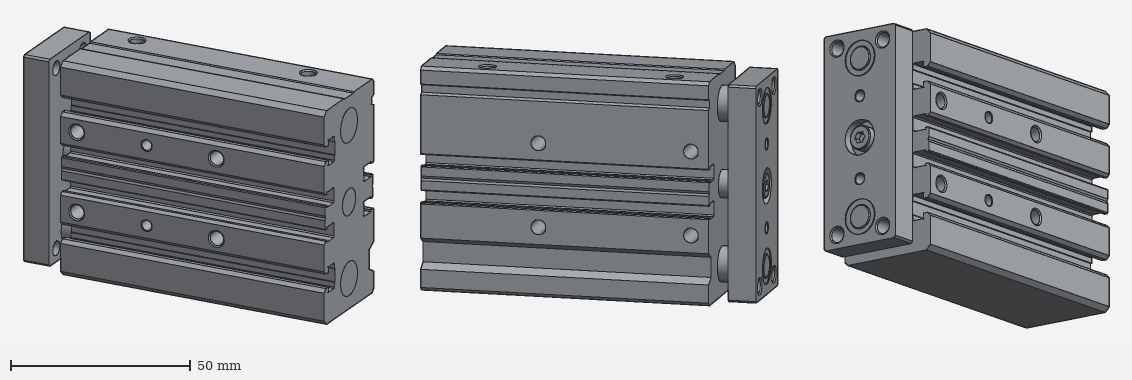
import cadquery as cq
import math


OVERLAP = 1.0

total_length = 96.0
plate_thickness = 8.0
housing_start = 13.0
housing_length = total_length - housing_start
housing_width = 30.0
housing_height = 64.0
half_width = housing_width / 2
half_height = housing_height / 2
front_corner_chamfer = 1.4
rear_corner_chamfer = 1.0

t_slot_z = 19.0
t_slot_mouth = 4.3
t_slot_flare = 1.1
t_slot_lip = 2.5
t_slot_head = 7.6
t_slot_depth = 6.1
t_slot_corner = 0.3
t_slot_recess_width = 4.0
t_slot_recess_depth = 0.43

sensor_slot_inner_z = 3.6
sensor_slot_outer_z = 6.9
sensor_slot_undercut = 0.6
sensor_slot_lip = 1.7
sensor_slot_depth = 6.0
sensor_slot_corner = 0.4
front_sensor_flare = 0.9
rear_sensor_flare = 0.3
rib_setback = 0.6
rib_edge_chamfer = 0.3
rib_groove_half_width = 0.7
rib_groove_depth = 0.3

rear_notch_z = 25.5
rear_notch_mouth = 3.1
rear_notch_floor = 2.1
rear_notch_depth = 1.2
rear_channel_z = -21.4
rear_channel_mouth = 8.9
rear_channel_floor = 5.8
rear_channel_depth = 2.8
top_groove_mouth = 6.0
top_groove_floor = 5.2
top_groove_depth = 0.3

side_hole_z = 12.0
mount_hole_x = (18.0, 62.0)
mount_hole_diameter = 4.2
mount_hole_countersink = 5.0
side_pin_hole_x = 40.0
pin_hole_diameter = 3.1
pin_hole_countersink = 3.5
pin_hole_depth = 5.0
port_x = (24.0, 78.0)
port_y = 10.0
port_diameter = 4.2
port_countersink = 5.0
port_depth = 7.7
port_passage_diameter = 1.6
port_passage_depth = 13.4
drill_point_angle = 118.0

plate_width = 25.0
plate_height = 62.0
plate_chamfer = 0.6
plate_hole_y = 8.0
plate_hole_z = 27.0
plate_hole_diameter = 4.2
plate_hole_countersink = 5.0
plate_counterbore_diameter = 10.2
plate_counterbore_depth = 3.0

guide_rod_z = 22.9
guide_rod_diameter = 10.2
piston_rod_diameter = 8.0
rod_tip_diameter = 7.0
rod_tip_chamfer = 0.3
guide_rod_step = 0.3
hex_socket_flats = 3.0
hex_socket_depth = 1.9


def prism(points, start, length):
    """Extrude a closed (Y, Z) outline along +X."""
    return cq.Workplane("YZ", origin=(start, 0, 0)).polyline(points).close().extrude(length)


def x_cylinder(diameter, start, end, z=0.0):
    """Cylinder along X between two stations, on Y = 0."""
    return cq.Workplane("YZ", origin=(start, 0, z)).circle(diameter / 2).extrude(end - start)


def hole_tool(diameter, countersink, depth, point_angle=None):
    """Hole cutter along +Z from the origin, with a 45 degree countersink and optional drill point."""
    radius = diameter / 2
    mouth = countersink / 2
    outline = cq.Workplane("XZ").moveTo(0, -OVERLAP).lineTo(mouth, -OVERLAP).lineTo(mouth, 0)
    outline = outline.lineTo(radius, mouth - radius).lineTo(radius, depth)
    if point_angle is None:
        outline = outline.lineTo(0, depth)
    else:
        outline = outline.lineTo(0, depth + radius / math.tan(math.radians(point_angle / 2)))
    return outline.close().revolve(360, (0, 0, 0), (0, 1, 0))


def groove_points(side, center_z, sections):
    """Outline of a groove in a Y face, from (depth, half width) sections symmetric about center_z.

    side is -1 for the -Y face and +1 for the +Y face.
    """
    upper = [(side * (half_width - depth), center_z + half) for depth, half in sections]
    lower = [(side * (half_width - depth), center_z - half) for depth, half in reversed(sections)]
    return upper + lower


def cut_along_housing(housing, points):
    """Cut a (Y, Z) outline through the whole housing length."""
    return housing.cut(prism(points, housing_start, housing_length))


def make_housing_blank():
    front = front_corner_chamfer
    rear = rear_corner_chamfer
    outline = [
        (-half_width, half_height - front),
        (-half_width + front, half_height),
        (half_width - rear, half_height),
        (half_width, half_height - rear),
        (half_width, rear - half_height),
        (half_width - rear, -half_height),
        (-half_width + front, -half_height),
        (-half_width, front - half_height),
    ]
    return prism(outline, housing_start, housing_length)


def cut_t_slots(housing):
    mouth = t_slot_mouth / 2
    head = t_slot_head / 2
    recess = t_slot_recess_width / 2
    sections = [
        (-OVERLAP, mouth + t_slot_flare),
        (0, mouth + t_slot_flare),
        (t_slot_flare, mouth),
        (t_slot_lip, mouth),
        (t_slot_lip, head),
        (t_slot_depth - t_slot_corner, head),
        (t_slot_depth, head - t_slot_corner),
        (t_slot_depth, recess),
        (t_slot_depth + t_slot_recess_depth, recess),
    ]
    for z in (-t_slot_z, t_slot_z):
        housing = cut_along_housing(housing, groove_points(-1, z, sections))
    return housing


def sensor_slot_points(side, up, flare):
    """Outline of one sensor slot; side picks the Y face and up the half above or below Z = 0."""
    head_outer = sensor_slot_outer_z + sensor_slot_undercut
    head_inner = sensor_slot_inner_z - sensor_slot_undercut
    corner = sensor_slot_corner
    outline = [
        (-OVERLAP, sensor_slot_outer_z + flare),
        (0, sensor_slot_outer_z + flare),
        (flare, sensor_slot_outer_z),
        (sensor_slot_lip, sensor_slot_outer_z),
        (sensor_slot_lip, head_outer),
        (sensor_slot_depth - corner, head_outer),
        (sensor_slot_depth, head_outer - corner),
        (sensor_slot_depth, head_inner + corner),
        (sensor_slot_depth - corner, head_inner),
        (sensor_slot_lip, head_inner),
        (sensor_slot_lip, sensor_slot_inner_z),
        (-OVERLAP, sensor_slot_inner_z),
    ]
    return [(side * (half_width - depth), up * z) for depth, z in outline]


def cut_sensor_slots(housing):
    rib = sensor_slot_inner_z
    rib_face_sections = [
        (-OVERLAP, rib),
        (rib_setback + rib_edge_chamfer, rib),
        (rib_setback, rib - rib_edge_chamfer),
        (rib_setback, rib_groove_half_width),
    ]
    for side, flare in ((-1, front_sensor_flare), (1, rear_sensor_flare)):
        for up in (-1, 1):
            housing = cut_along_housing(housing, sensor_slot_points(side, up, flare))
        rib_face = groove_points(side, 0, rib_face_sections)
        groove_bottom = (side * (half_width - rib_setback - rib_groove_depth), 0)
        rib_face.insert(len(rib_face) // 2, groove_bottom)
        housing = cut_along_housing(housing, rib_face)
    return housing


def cut_plain_grooves(housing):
    notch = [(0, rear_notch_mouth / 2), (rear_notch_depth, rear_notch_floor / 2)]
    channel = [(0, rear_channel_mouth / 2), (rear_channel_depth, rear_channel_floor / 2)]
    housing = cut_along_housing(housing, groove_points(1, rear_notch_z, notch))
    housing = cut_along_housing(housing, groove_points(1, rear_channel_z, channel))
    top_groove = [
        (-top_groove_mouth / 2, half_height),
        (top_groove_mouth / 2, half_height),
        (top_groove_floor / 2, half_height - top_groove_depth),
        (-top_groove_floor / 2, half_height - top_groove_depth),
    ]
    return cut_along_housing(housing, top_groove)


def cut_side_holes(housing):
    """Countersunk through holes and blind pin holes, entering from the -Y face."""
    through = hole_tool(mount_hole_diameter, mount_hole_countersink, housing_width + OVERLAP)
    pin = hole_tool(pin_hole_diameter, pin_hole_countersink, pin_hole_depth, drill_point_angle)
    places = [(x, through) for x in mount_hole_x] + [(side_pin_hole_x, pin)]
    for z in (-side_hole_z, side_hole_z):
        for x, tool in places:
            into_y = tool.rotate((0, 0, 0), (1, 0, 0), -90)
            housing = housing.cut(into_y.translate((x, -half_width, z)))
    return housing


def cut_ports(housing):
    """Air ports in the top face, each with a narrow passage below its drill point."""
    port = hole_tool(port_diameter, port_countersink, port_depth, drill_point_angle)
    passage = cq.Workplane("XY").circle(port_passage_diameter / 2).extrude(port_passage_depth)
    tool = port.union(passage).rotate((0, 0, 0), (1, 0, 0), 180)
    for x in port_x:
        housing = housing.cut(tool.translate((x, port_y, half_height)))
    return housing


def make_housing():
    housing = make_housing_blank()
    housing = cut_t_slots(housing)
    housing = cut_sensor_slots(housing)
    housing = cut_plain_grooves(housing)
    housing = cut_side_holes(housing)
    housing = cut_ports(housing)
    for z in (-guide_rod_z, guide_rod_z):
        housing = housing.cut(x_cylinder(guide_rod_diameter, housing_start, total_length, z))
    return housing.cut(x_cylinder(piston_rod_diameter, housing_start, total_length))


def make_plate():
    plate = cq.Workplane("XY").box(plate_thickness, plate_width, plate_height)
    plate = plate.translate((plate_thickness / 2, 0, 0)).edges("|X").chamfer(plate_chamfer)

    corner = hole_tool(plate_hole_diameter, plate_hole_countersink, plate_thickness + OVERLAP)
    pin = hole_tool(pin_hole_diameter, pin_hole_countersink, pin_hole_depth, drill_point_angle)
    places = [(0, z, pin) for z in (-side_hole_z, side_hole_z)]
    for y in (-plate_hole_y, plate_hole_y):
        places += [(y, z, corner) for z in (-plate_hole_z, plate_hole_z)]
    for y, z, tool in places:
        into_x = tool.rotate((0, 0, 0), (0, 1, 0), 90)
        plate = plate.cut(into_x.translate((0, y, z)))

    for z in (-guide_rod_z, guide_rod_z):
        plate = plate.cut(x_cylinder(guide_rod_diameter, 0, plate_thickness, z))
    plate = plate.cut(x_cylinder(rod_tip_diameter, 0, plate_thickness))
    return plate.cut(x_cylinder(plate_counterbore_diameter, 0, plate_counterbore_depth))


def make_rod(diameter, shoulder, z=0.0):
    """Rod to the housing's far end, stepped down at the shoulder to a chamfered tip at X = 0."""
    tip = x_cylinder(rod_tip_diameter, 0, shoulder + OVERLAP, z).faces("<X").chamfer(rod_tip_chamfer)
    return x_cylinder(diameter, shoulder, total_length, z).union(tip)


def make_piston_rod():
    rod = make_rod(piston_rod_diameter, plate_thickness)
    corner_diameter = hex_socket_flats / math.cos(math.pi / 6)
    socket = cq.Workplane("YZ").polygon(6, corner_diameter).extrude(hex_socket_depth)
    return rod.cut(socket)


housing = make_housing()
plate = make_plate()
guide_rods = [make_rod(guide_rod_diameter, guide_rod_step, z) for z in (-guide_rod_z, guide_rod_z)]
piston_rod = make_piston_rod()

result = cq.Compound.makeCompound(
    [housing.val(), plate.val(), *[rod.val() for rod in guide_rods], piston_rod.val()]
)